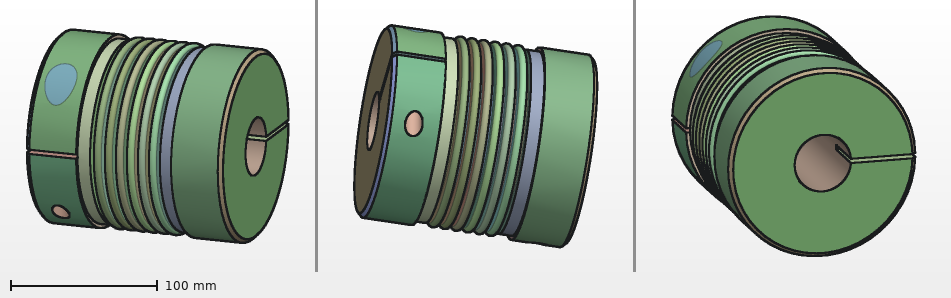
import cadquery as cq
import math

length = 143.0
hub_radius = 133.0 / 2
hub_length = 36.9
hub_chamfer = 2.9
collar_radius = 127.4 / 2
collar_end = 46.0
bore_radius = 40.0 / 2

fin_count = 6
crest_radius = 131.8 / 2
root_radius = 107.2 / 2
fin_width = 5.3
bellows_length = length - 2 * collar_end
gap_width = (bellows_length - fin_count * fin_width) / (fin_count + 1)

slit_width = 3.0
screw_x = 18.6
screw_offset = 47.0
head_diameter = 22.0
head_seat = 23.5
shank_diameter = 15.0
thread_diameter = 12.0
thread_depth = 2 * thread_diameter
opening_height = math.sqrt(hub_radius**2 - screw_offset**2)


def cylinder_x(radius, start, size):
    """Cylinder along X, beginning at x = start."""
    return cq.Workplane("YZ", origin=(start, 0, 0)).circle(radius).extrude(size)


def cylinder_z(diameter, bottom, top):
    """Vertical cylinder on the axis of the left clamping screw."""
    base = cq.Workplane("XY", origin=(screw_x, -screw_offset, bottom))
    return base.circle(diameter / 2).extrude(top - bottom)


def opposite(shape):
    """Half-turned copy of a left-hub feature, placed on the right hub."""
    return shape.rotate((length / 2, 0, 0), (length / 2, 0, 1), 180)


def make_hub():
    """Left hub with its chamfered outer rim and the collar behind it."""
    hub = cylinder_x(hub_radius, 0, hub_length).faces("<X").chamfer(hub_chamfer)
    return hub.union(cylinder_x(collar_radius, 0, collar_end))


def make_bellows():
    """Revolved bellows profile, drawn from the left collar to the right one."""
    crest_round = fin_width / 2
    root_round = gap_width / 2
    crest_base = crest_radius - crest_round
    root_base = root_radius + root_round
    x = collar_end
    profile = cq.Workplane("XY").moveTo(x, 0).lineTo(x, root_base)
    for fin in range(fin_count + 1):
        profile = profile.threePointArc((x + root_round, root_radius), (x + gap_width, root_base))
        x += gap_width
        if fin < fin_count:
            profile = profile.lineTo(x, crest_base)
            profile = profile.threePointArc((x + crest_round, crest_radius), (x + fin_width, crest_base))
            x += fin_width
            profile = profile.lineTo(x, root_base)
    profile = profile.lineTo(x, 0).close()
    return profile.revolve(360, (0, 0, 0), (1, 0, 0))


def make_slit():
    """Radial slit through the left hub, from the bore to the outside at -Y."""
    slit = cq.Workplane("XY").box(hub_length, hub_radius, slit_width, centered=(False, False, True))
    return slit.translate((0, -hub_radius, 0))


def make_thread_hole():
    """Blind screw hole, open at the underside of the left hub."""
    return cylinder_z(thread_diameter, -hub_radius, thread_depth - opening_height)


def make_head():
    """Screw head in the upper half of the left hub, flush with its rim."""
    head = cylinder_z(head_diameter, head_seat, hub_radius)
    return head.intersect(cylinder_x(hub_radius, 0, hub_length))


hub = make_hub()
slit = make_slit()
thread_hole = make_thread_hole()
shank = cylinder_z(shank_diameter, -slit_width, slit_width)
head = make_head()

body = make_bellows().union(hub).union(hub.mirror("YZ", (length / 2, 0, 0)))
body = body.cut(cylinder_x(bore_radius, 0, length))
for cutter in (slit, thread_hole):
    body = body.cut(cutter).cut(opposite(cutter))
body = body.union(shank).union(opposite(shank))

body = body.cut(head).cut(opposite(head))
result = body.union(head, clean=False).union(opposite(head), clean=False)